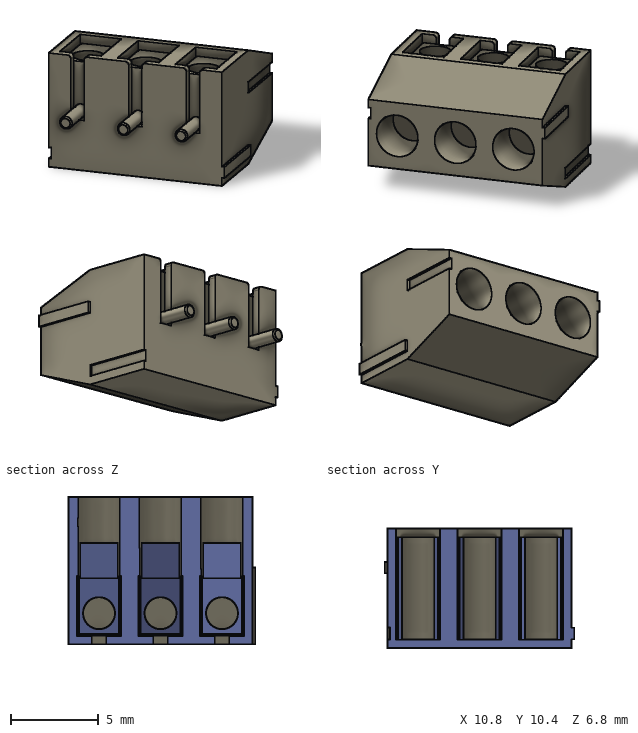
import cadquery as cq


pole_count = 3
pitch = 3.5

housing_width = pole_count * pitch
housing_depth = 8.4
housing_height = 6.8
shoulder_depth = 4.4
taper_drop = 1.4
wall = 0.5
mid_height = housing_height / 2
housing_side = housing_width / 2

rib_thickness = 0.15
rib_height = 0.66
front_rib_base = 0.5
back_rib_base = 4.24

clamp_width = 2.3
clamp_clearance = 0.1
clamp_depth = 3.2
clamp_front = wall + clamp_clearance
clamp_back = clamp_front + clamp_depth
clamp_height = housing_height - 2 * wall
pocket_width = clamp_width + 2 * clamp_clearance
pocket_depth = clamp_depth + 2 * clamp_clearance
wire_hole_diameter = 1.8
wire_hole_y = 1.78

pin_diameter = 0.75
pin_reach = 2.0
pin_chamfer = 0.092
slot_width = 0.8
slot_fillet = 0.2

screw_diameter = clamp_width
screw_length = 2.0
screw_hole_diameter = pocket_width

pole_positions = [(i - (pole_count - 1) / 2) * pitch for i in range(pole_count)]


def box_from(x, y, z, width, depth, height):
    """Box with its lowest corner at (x, y, z)."""
    return cq.Workplane("XY").box(width, depth, height, centered=False).translate((x, y, z))


def cylinder_along_y(x, front, diameter, length):
    """Cylinder at mid height whose axis runs from y = front toward the back."""
    plane = cq.Plane(origin=(x, front, mid_height), xDir=(1, 0, 0), normal=(0, 1, 0))
    return cq.Workplane(plane).circle(diameter / 2).extrude(length)


def housing_block():
    """Side profile, tapered above and below toward the back, extruded over all poles."""
    profile = [
        (0, 0),
        (shoulder_depth, 0),
        (housing_depth, taper_drop),
        (housing_depth, housing_height - taper_drop),
        (shoulder_depth, housing_height),
        (0, housing_height),
    ]
    return cq.Workplane("YZ").polyline(profile).close().extrude(housing_side, both=True)


def front_strip(x):
    """Low strip along the front part, used as a rib or as the groove for it."""
    return box_from(x, 0, front_rib_base, rib_thickness, shoulder_depth, rib_height)


def back_strip(x):
    """High strip along the tapered part, used as a rib or as the groove for it."""
    strip_depth = housing_depth - shoulder_depth
    return box_from(x, shoulder_depth, back_rib_base, rib_thickness, strip_depth, rib_height)


def add_end_joints(body):
    """Each end has one rib, and a groove that takes the rib of a neighbouring block."""
    outside_left = -housing_side - rib_thickness
    inside_right = housing_side - rib_thickness
    body = body.union(back_strip(outside_left)).union(front_strip(housing_side))
    return body.cut(front_strip(-housing_side)).cut(back_strip(inside_right))


def clamp_pocket(x):
    """Pocket open at the top."""
    return box_from(x - pocket_width / 2, wall, wall, pocket_width, pocket_depth, housing_height - wall)


def pin_slot(x):
    """Slot through the front wall, flared at the top by rounded edges."""
    half_slot = slot_width / 2
    half_mouth = half_slot + slot_fillet
    slot_base = mid_height - half_slot
    fillet_base = housing_height - slot_fillet
    arc_offset = slot_fillet * (1 - 0.5**0.5)
    return (
        cq.Workplane("XZ")
        .moveTo(x - half_slot, slot_base)
        .lineTo(x + half_slot, slot_base)
        .lineTo(x + half_slot, fillet_base)
        .threePointArc(
            (x + half_slot + arc_offset, housing_height - arc_offset),
            (x + half_mouth, housing_height),
        )
        .lineTo(x - half_mouth, housing_height)
        .threePointArc(
            (x - half_slot - arc_offset, housing_height - arc_offset),
            (x - half_slot, fillet_base),
        )
        .close()
        .extrude(-wall)
    )


def make_housing():
    body = add_end_joints(housing_block())
    pocket_back = wall + pocket_depth
    for x in pole_positions:
        screw_hole = cylinder_along_y(x, pocket_back, screw_hole_diameter, housing_depth - pocket_back)
        body = body.cut(clamp_pocket(x)).cut(pin_slot(x)).cut(screw_hole)
    return body


def make_clamp(x):
    """Block standing on the pocket floor, with a vertical wire hole."""
    block = box_from(x - clamp_width / 2, clamp_front, wall, clamp_width, clamp_depth, clamp_height)
    wire_hole = (
        cq.Workplane("XY", origin=(x, wire_hole_y, wall)).circle(wire_hole_diameter / 2).extrude(clamp_height)
    )
    return block.cut(wire_hole)


def make_pin(x):
    """Round pin from the clamp's front face out through the slot, chamfered at its tip."""
    pin = cylinder_along_y(x, -pin_reach, pin_diameter, pin_reach + clamp_front)
    return pin.faces("<Y").chamfer(pin_chamfer)


def make_screw(x):
    """Screw head that rests against the clamp's back face."""
    return cylinder_along_y(x, clamp_back, screw_diameter, screw_length)


housing = make_housing()
clamps = [make_clamp(x).val() for x in pole_positions]
pins = [make_pin(x).val() for x in pole_positions]
screws = [make_screw(x).val() for x in pole_positions]

result = cq.Compound.makeCompound([housing.val(), *clamps, *pins, *screws])